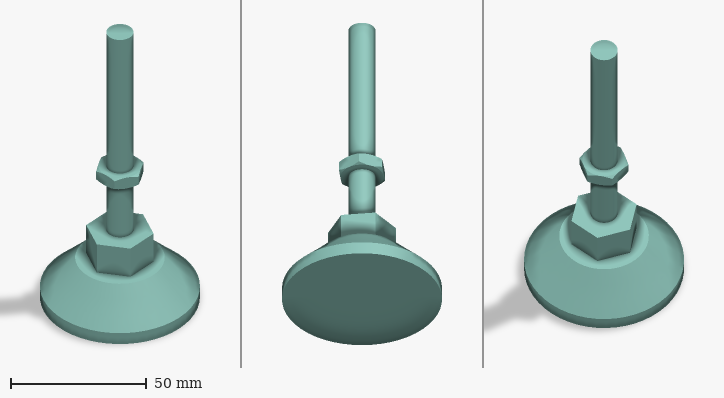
import cadquery as cq
import math

TOTAL_HEIGHT = 120.8

FOOT_DIAMETER = 59.0
FOOT_TOP_DIAMETER = 33.0
RIM_HEIGHT = 5.0
FOOT_HEIGHT = 18.0

COLLAR_ACROSS_FLATS = 22.0
COLLAR_HEIGHT = 12.8
ROD_DIAMETER = 10.0

NUT_ACROSS_FLATS = 16.0
NUT_HEIGHT = 5.0
NUT_BOTTOM = 55.0
NUT_CHAMFER_ANGLE = 30.0


def hexagon_prism(across_flats, height, bottom):
    """Upright hexagonal prism with two of its corners on the X axis."""
    across_corners = across_flats / math.cos(math.radians(30))
    return cq.Workplane("XY").workplane(offset=bottom).polygon(6, across_corners).extrude(height)


def make_foot():
    rim_radius = FOOT_DIAMETER / 2
    top_radius = FOOT_TOP_DIAMETER / 2
    half_section = [
        (0, 0),
        (rim_radius, 0),
        (rim_radius, RIM_HEIGHT),
        (top_radius, FOOT_HEIGHT),
        (0, FOOT_HEIGHT),
    ]
    return cq.Workplane("XZ").polyline(half_section).close().revolve(360, (0, 0), (0, 1))


def make_spindle():
    collar = hexagon_prism(COLLAR_ACROSS_FLATS, COLLAR_HEIGHT, FOOT_HEIGHT)
    collar = collar.rotate((0, 0, 0), (0, 0, 1), 30)
    rod_length = TOTAL_HEIGHT - FOOT_HEIGHT - COLLAR_HEIGHT
    return collar.faces(">Z").workplane().circle(ROD_DIAMETER / 2).extrude(rod_length)


def make_nut():
    blank = hexagon_prism(NUT_ACROSS_FLATS, NUT_HEIGHT, NUT_BOTTOM)

    flat_radius = NUT_ACROSS_FLATS / 2
    corner_radius = flat_radius / math.cos(math.radians(30))
    chamfer_height = (corner_radius - flat_radius) * math.tan(math.radians(NUT_CHAMFER_ANGLE))
    nut_top = NUT_BOTTOM + NUT_HEIGHT
    half_section = [
        (0, NUT_BOTTOM),
        (flat_radius, NUT_BOTTOM),
        (corner_radius, NUT_BOTTOM + chamfer_height),
        (corner_radius, nut_top - chamfer_height),
        (flat_radius, nut_top),
        (0, nut_top),
    ]
    trimming_disc = cq.Workplane("XZ").polyline(half_section).close().revolve(360, (0, 0), (0, 1))

    bore = cq.Workplane("XY").workplane(offset=NUT_BOTTOM).circle(ROD_DIAMETER / 2).extrude(NUT_HEIGHT)
    return blank.intersect(trimming_disc).cut(bore)


foot = make_foot()
spindle = make_spindle()
nut = make_nut()

result = cq.Compound.makeCompound([foot.val(), spindle.val(), nut.val()])